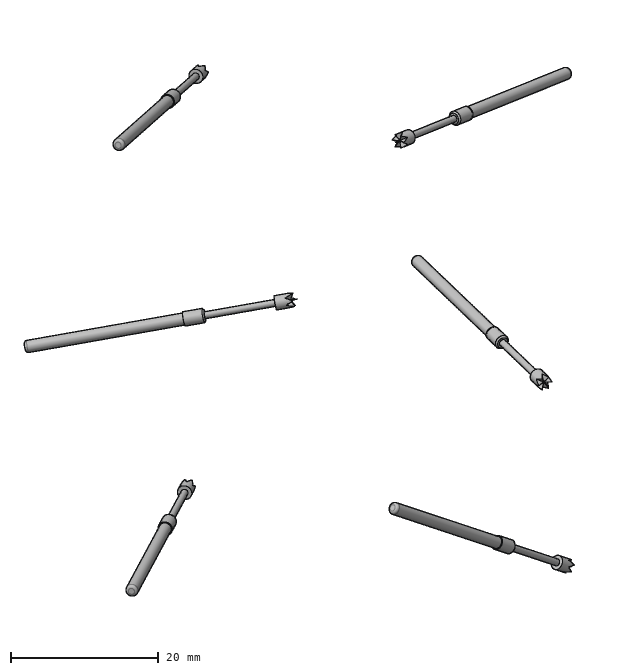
import cadquery as cq
import math

total_length = 37.8
barrel_diameter = 1.7
barrel_end_round = 0.4
collar_diameter = 2.0
collar_start = 22.08
collar_length = 2.9
collar_chamfer = 0.23
plunger_diameter = 1.0
head_diameter = collar_diameter
head_start = 34.78

tooth_count = 6
tooth_tip = 37.3
valley_rim = 36.3
valley_center = 36.85
spike_base_radius = 0.15
groove_overrun = 1.2

barrel_radius = barrel_diameter / 2
collar_radius = collar_diameter / 2
plunger_radius = plunger_diameter / 2
head_radius = head_diameter / 2
collar_end = collar_start + collar_length

tooth_pitch = 360 / tooth_count
half_pitch = math.radians(tooth_pitch / 2)
valley_drop = valley_center - valley_rim

crest_offset = head_radius * math.sin(half_pitch)
floor_beside_crest = valley_center - valley_drop * math.cos(half_pitch)
flank_slope = crest_offset / (tooth_tip - floor_beside_crest)
cutter_height = total_length - valley_rim


def turned_body():
    """Barrel, collar, plunger and uncut head as one turned body; Z is the radius in the profile."""
    profile = (
        cq.Workplane("YZ")
        .moveTo(0, 0)
        .lineTo(0, barrel_radius - barrel_end_round)
        .radiusArc((barrel_end_round, barrel_radius), barrel_end_round)
        .lineTo(collar_start, barrel_radius)
        .lineTo(collar_start, collar_radius)
        .lineTo(collar_end - collar_chamfer, collar_radius)
        .lineTo(collar_end, collar_radius - collar_chamfer)
        .lineTo(collar_end, plunger_radius)
        .lineTo(head_start, plunger_radius)
        .lineTo(head_start, head_radius)
        .lineTo(tooth_tip, head_radius)
        .lineTo(tooth_tip, 0)
        .close()
    )
    return profile.revolve(360, (0, 0), (1, 0))


def groove_section(z, floor):
    """V outline in the plane at the given Z, from its floor up past the tooth tips."""
    half_width = flank_slope * cutter_height
    corners = [
        cq.Vector(0, floor, z),
        cq.Vector(half_width, floor + cutter_height, z),
        cq.Vector(-half_width, floor + cutter_height, z),
    ]
    return cq.Wire.makePolygon(corners, close=True)


def groove(angle):
    """V cutter running from the axis outward, its floor falling toward the rim, turned about Y."""
    inner_section = groove_section(0, valley_center)
    outer_section = groove_section(
        head_radius * groove_overrun, valley_center - valley_drop * groove_overrun
    )
    cutter = cq.Solid.makeLoft([inner_section, outer_section], True)
    return cq.Workplane(cutter).rotate((0, 0, 0), (0, 1, 0), angle)


def spike():
    """Slender cone standing on the axis between the teeth."""
    base = cq.Vector(0, valley_rim, 0)
    axis = cq.Vector(0, 1, 0)
    return cq.Workplane(cq.Solid.makeCone(spike_base_radius, 0, total_length - valley_rim, base, axis))


result = turned_body()
for index in range(tooth_count):
    result = result.cut(groove(index * tooth_pitch))
result = result.union(spike())